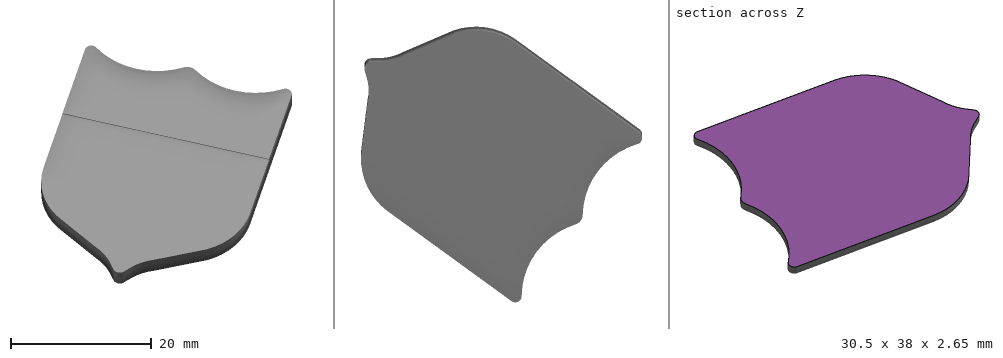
import cadquery as cq
import math

width = 30.48
length = 38.05
thickness = 2.65
half_width = width / 2

band_step = 0.1
band_start = 25.23
plate_thickness = thickness - band_step

corner_radius = 0.9
corner_end_angle = math.radians(130)
corner_center_x = half_width - corner_radius
corner_center_y = length - corner_radius
corner_end = (
    corner_center_x + corner_radius * math.cos(corner_end_angle),
    corner_center_y + corner_radius * math.sin(corner_end_angle),
)
dip_bottom = (7.23, 35.73)
peak_end = (0.9, 37.75)

shoulder_top_y = 15.1
shoulder_middle = (14.08, 10.73)
slope_top = (11.1, 7.42)
slope_bottom = (4.3, 3.55)

neck_middle = (2.65, 2.5)
neck_end = (1.8, 1.67)
tip_start = (0.65, 0.23)


def mirrored(point):
    x, y = point
    return (-x, y)


def shield_outline():
    """Closed outline, run clockwise from the peak down the +X side and back up the -X side."""
    return (
        cq.Workplane("XY")
        .moveTo(*peak_end)
        .threePointArc(dip_bottom, corner_end)
        .threePointArc((corner_center_x, length), (half_width, corner_center_y))
        .lineTo(half_width, shoulder_top_y)
        .threePointArc(shoulder_middle, slope_top)
        .lineTo(*slope_bottom)
        .threePointArc(neck_middle, neck_end)
        .lineTo(*tip_start)
        .threePointArc((0, 0), mirrored(tip_start))
        .lineTo(*mirrored(neck_end))
        .threePointArc(mirrored(neck_middle), mirrored(slope_bottom))
        .lineTo(*mirrored(slope_top))
        .threePointArc(mirrored(shoulder_middle), (-half_width, shoulder_top_y))
        .lineTo(-half_width, corner_center_y)
        .threePointArc((-corner_center_x, length), mirrored(corner_end))
        .threePointArc(mirrored(dip_bottom), mirrored(peak_end))
        .threePointArc((0, length), peak_end)
        .close()
    )


def area_below_band():
    """Block covering the thin layer removed from the plate below the band."""
    return (
        cq.Workplane("XY", origin=(0, 0, plate_thickness))
        .rect(2 * width, 2 * band_start)
        .extrude(thickness)
    )


result = shield_outline().extrude(thickness).cut(area_below_band())